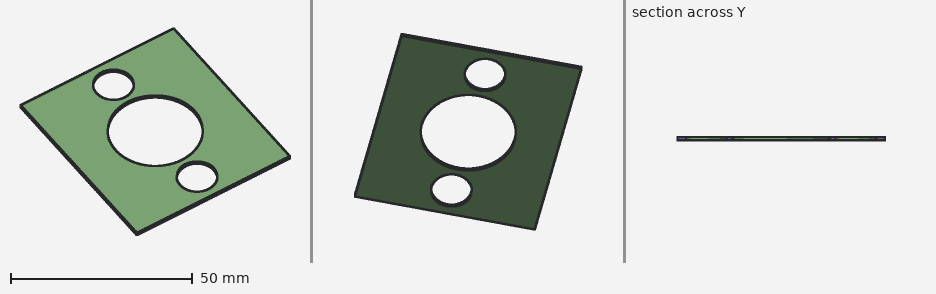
import cadquery as cq

plate_length = 57.15
plate_width = 50.8
plate_thickness = 1.0

center_hole_diameter = 26.2
side_hole_diameter = 11.2
side_hole_spacing = 41.1

plate = cq.Workplane("XY").box(plate_length, plate_width, plate_thickness)

plate = plate.faces(">Z").workplane().hole(center_hole_diameter)

side_hole_centers = [(side * side_hole_spacing / 2, 0) for side in (-1, 1)]
result = plate.faces(">Z").workplane(origin=(0, 0, 0)).pushPoints(side_hole_centers).hole(side_hole_diameter)